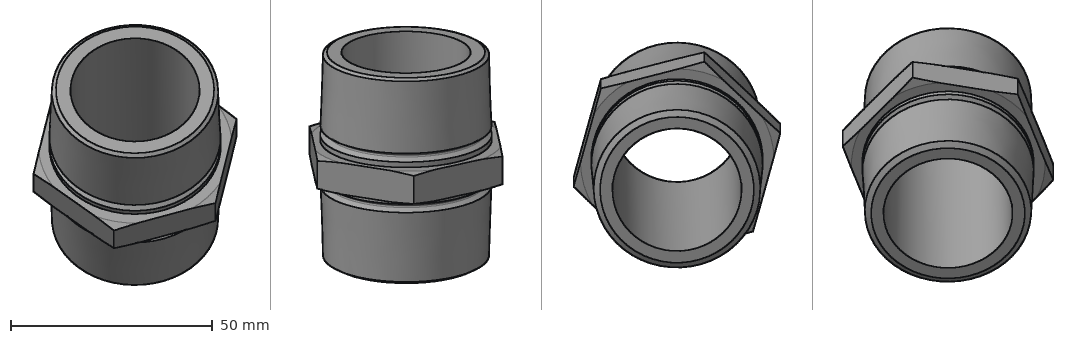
import cadquery as cq
import math

length = 54.0
bore_radius = 16.0
hex_across_flats = 46.0
hex_thickness = 8.2
hex_chamfer_radius = 24.0
hex_chamfer_angle = 10.0

collar_radius = 21.3
collar_end_z = 5.5

groove_end_z = 7.75
groove_flank_angle = 30.0
groove_root_width = 0.5

taper_large_radius = 21.23
radial_taper = 1 / 32
end_chamfer_angle = 30.0
top_face_radius = 19.6
bottom_face_radius = 19.05

half_length = length / 2
half_hex = hex_thickness / 2
hex_corner_radius = hex_across_flats / math.sqrt(3)
groove_flank_slope = math.tan(math.radians(groove_flank_angle))
chamfer_slope = math.tan(math.radians(end_chamfer_angle))
taper_end_radius = taper_large_radius - radial_taper * (half_length - groove_end_z)

flank_height = (groove_end_z - collar_end_z - groove_root_width) / 2
mean_rim_radius = (taper_large_radius + collar_radius) / 2
root_edge_radius = mean_rim_radius - flank_height / groove_flank_slope
root_arc_turn = math.radians(90 - groove_flank_angle)
root_arc_radius = groove_root_width / (2 * math.sin(root_arc_turn))
root_radius = root_edge_radius - root_arc_radius * (1 - math.cos(root_arc_turn))
groove_middle_z = (collar_end_z + groove_end_z) / 2


def make_half(face_radius):
    """Turned and bored upper half, from the mid plane to its end face."""
    chamfer_height = (taper_end_radius - face_radius) * chamfer_slope
    return (
        cq.Workplane("XZ")
        .moveTo(bore_radius, 0)
        .lineTo(collar_radius, 0)
        .lineTo(collar_radius, collar_end_z)
        .lineTo(root_edge_radius, groove_middle_z - groove_root_width / 2)
        .threePointArc(
            (root_radius, groove_middle_z),
            (root_edge_radius, groove_middle_z + groove_root_width / 2),
        )
        .lineTo(taper_large_radius, groove_end_z)
        .lineTo(taper_end_radius, half_length - chamfer_height)
        .lineTo(face_radius, half_length)
        .lineTo(bore_radius, half_length)
        .close()
        .revolve(360, (0, 0), (0, 1))
    )


def make_hexagon():
    """Bored hexagon with conically chamfered corners, two corners on the X axis."""
    prism = cq.Workplane("XY").polygon(6, 2 * hex_corner_radius).extrude(half_hex, both=True)
    chamfer_drop = (hex_corner_radius - hex_chamfer_radius) * math.tan(math.radians(hex_chamfer_angle))
    corner_z = half_hex - chamfer_drop
    envelope = (
        cq.Workplane("XZ")
        .moveTo(bore_radius, -half_hex)
        .lineTo(hex_chamfer_radius, -half_hex)
        .lineTo(hex_corner_radius, -corner_z)
        .lineTo(hex_corner_radius, corner_z)
        .lineTo(hex_chamfer_radius, half_hex)
        .lineTo(bore_radius, half_hex)
        .close()
        .revolve(360, (0, 0), (0, 1))
    )
    return prism.intersect(envelope)


upper_half = make_half(top_face_radius)
lower_half = make_half(bottom_face_radius).mirror("XY")
result = make_hexagon().union(upper_half).union(lower_half).clean()